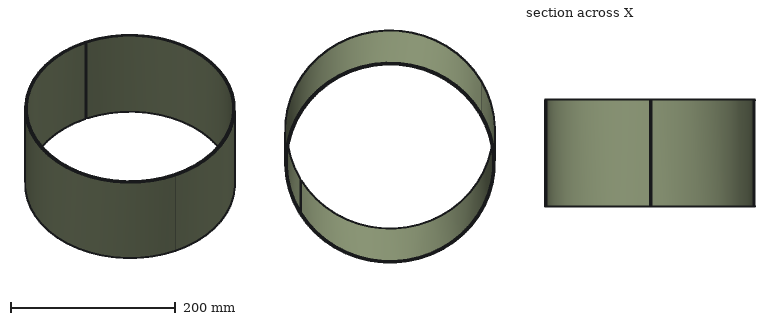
import cadquery as cq

outer_diameter = 255.0
height = 130.0
wall = 2.5
rim_chamfer = 0.65
slit_width = 2.0
slit_start_y = 0.0

outer_radius = outer_diameter / 2
inner_radius = outer_radius - wall


def make_ring():
    """Tube with the outer edge of both rims chamfered."""
    body = cq.Workplane("XY").circle(outer_radius).extrude(height)
    body = body.edges("%CIRCLE").chamfer(rim_chamfer)
    bore = cq.Workplane("XY").circle(inner_radius).extrude(height)
    return body.cut(bore)


def make_slit():
    """Full-height cutter passing out through the -X wall."""
    return (
        cq.Workplane("XY")
        .box(outer_diameter, slit_width, height, centered=(True, False, False))
        .translate((-outer_radius, slit_start_y, 0))
    )


result = make_ring().cut(make_slit())